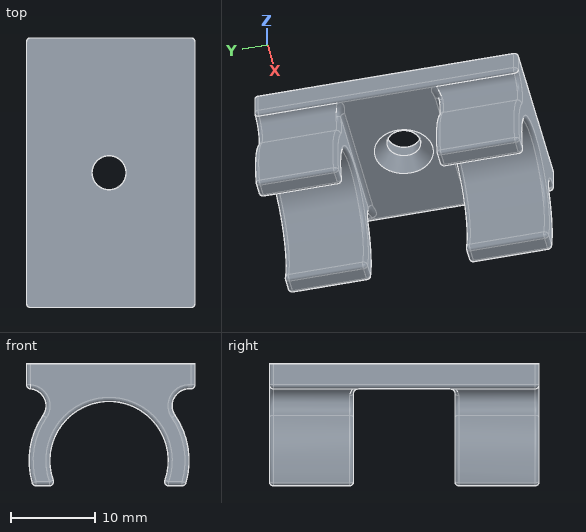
import cadquery as cq
import math

plate_width = 20.0
plate_length = 32.0
plate_thickness = 3.0
plate_offset_x = 0.2

clip_length = 10.0
bore_radius = 7.0
wall_thickness = 2.5
bridge_thickness = 4.5
total_height = 14.5
neck_radius = 2.0

hole_diameter = 4.0
hole_land = 1.5
sink_diameter = 7.0

edge_radius = 0.5

trim_margin = 1.0
trim_clearance = 0.007

outer_radius = bore_radius + wall_thickness
bore_center_z = -(bridge_thickness + bore_radius)
jaw_drop = total_height + bore_center_z
plate_left_x = plate_offset_x - plate_width / 2
plate_right_x = plate_offset_x + plate_width / 2
outer_tip_x = math.sqrt(outer_radius**2 - jaw_drop**2)
inner_tip_x = math.sqrt(bore_radius**2 - jaw_drop**2)

neck_center_z = -(plate_thickness + neck_radius)
neck_rise = neck_center_z - bore_center_z
neck_center_x = math.sqrt((outer_radius + neck_radius)**2 - neck_rise**2)
neck_angle = math.atan2(neck_rise, neck_center_x)


def bore_polar(radius, angle):
    """Point (x, z) at an angle from +X around the bore axis."""
    return radius * math.cos(angle), bore_center_z + radius * math.sin(angle)


def mirrored(point):
    return -point[0], point[1]


def make_plate():
    """Plate symmetric about the clips; the -X side, close to the necks, is trimmed to size later."""
    return cq.Workplane("XY").rect(2 * plate_right_x, plate_length).extrude(-plate_thickness)


def make_clip(front_y):
    """One clip, reaching from front_y along +Y, up to mid plate thickness."""
    root_z = -plate_thickness / 2
    neck_top = (neck_center_x, -plate_thickness)
    neck_mid_angle = (math.pi / 2 + math.pi + neck_angle) / 2
    neck_mid = (
        neck_center_x + neck_radius * math.cos(neck_mid_angle),
        neck_center_z + neck_radius * math.sin(neck_mid_angle),
    )
    jaw_top = bore_polar(outer_radius, neck_angle)
    jaw_mid = bore_polar(outer_radius, 0)
    outer_tip = (outer_tip_x, -total_height)
    inner_tip = (inner_tip_x, -total_height)
    bore_top = bore_polar(bore_radius, math.pi / 2)
    return (
        cq.Workplane("XZ", origin=(0, front_y, 0))
        .moveTo(neck_center_x, root_z)
        .lineTo(*neck_top)
        .threePointArc(neck_mid, jaw_top)
        .threePointArc(jaw_mid, outer_tip)
        .lineTo(*inner_tip)
        .threePointArc(bore_top, mirrored(inner_tip))
        .lineTo(*mirrored(outer_tip))
        .threePointArc(mirrored(jaw_mid), mirrored(jaw_top))
        .threePointArc(mirrored(neck_mid), mirrored(neck_top))
        .lineTo(-neck_center_x, root_z)
        .close()
        .extrude(-clip_length)
    )


def make_hole():
    straight = cq.Workplane("XY").circle(hole_diameter / 2).extrude(-plate_thickness)
    sink = (
        cq.Workplane("XY", origin=(0, 0, -hole_land))
        .circle(hole_diameter / 2)
        .workplane(offset=hole_land - plate_thickness)
        .circle(sink_diameter / 2)
        .loft()
    )
    return straight.union(sink)


def make_left_trim():
    """Strip outside the -X side of the plate, hollowed to leave that side's edges rounded."""
    strip_width = plate_left_x + edge_radius + plate_right_x + trim_margin
    strip_length = plate_length + 2 * trim_margin
    strip_height = plate_thickness + trim_margin + trim_clearance
    strip = (
        cq.Workplane("XY", origin=(-plate_right_x - trim_margin, 0, trim_margin - strip_height))
        .box(strip_width, strip_length, strip_height, centered=(False, True, False))
    )
    rounded_plate = (
        cq.Workplane("XY")
        .center(plate_offset_x, 0)
        .rect(plate_width, plate_length)
        .extrude(-plate_thickness)
        .edges("not >Z")
        .fillet(edge_radius)
    )
    return strip.cut(rounded_plate)


body = make_plate()
for clip_front_y in (-plate_length / 2, plate_length / 2 - clip_length):
    body = body.union(make_clip(clip_front_y))

body = body.edges("not >Z").fillet(edge_radius)
body = body.cut(make_left_trim())
result = body.cut(make_hole()).solids()